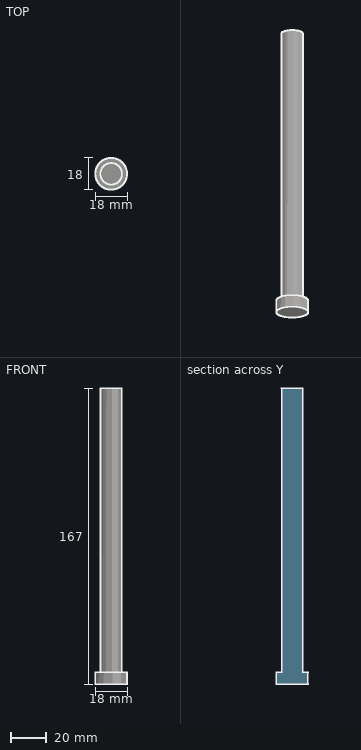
import cadquery as cq

total_length = 167.0
head_diameter = 18.0
head_height = 7.0
shaft_diameter = 12.2
root_fillet_radius = 0.2

head = cq.Workplane("XY").circle(head_diameter / 2).extrude(head_height)
pin = head.faces(">Z").workplane().circle(shaft_diameter / 2).extrude(total_length - head_height)

root_edge = cq.selectors.RadiusNthSelector(0)
result = pin.faces("<Z[1]").edges(root_edge).fillet(root_fillet_radius)